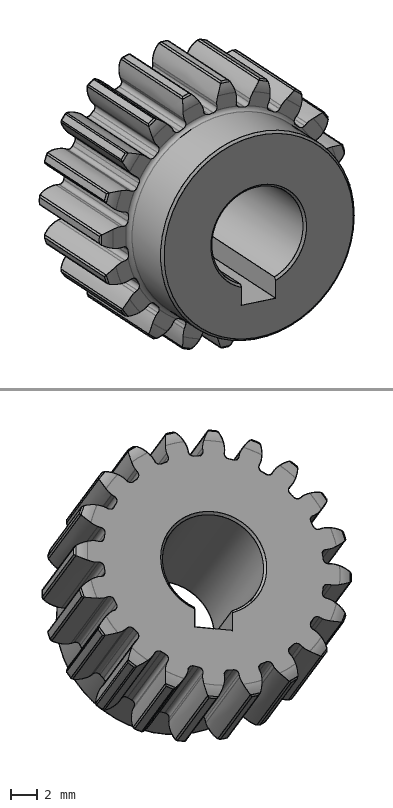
import cadquery as cq
import math

tooth_count = 20
outer_diameter = 22.0
pressure_angle = math.radians(20)
face_width = 10.0
total_length = 15.0
hub_diameter = 17.0
hub_root_fillet = 0.35
hub_end_chamfer = 0.2
bore_diameter = 8.0
bore_chamfer = 0.2
keyway_width = 3.0
keyway_depth = 5.4
tip_chamfer = 0.13
end_round_radius = 2.0
dedendum_factor = 1.25
root_fillet_factor = 0.38

module = outer_diameter / (tooth_count + 2)
outer_radius = outer_diameter / 2
pitch_radius = module * tooth_count / 2
base_radius = pitch_radius * math.cos(pressure_angle)
root_radius = pitch_radius - dedendum_factor * module
root_fillet = root_fillet_factor * module
tip_flank_radius = outer_radius - tip_chamfer
gap_angle = math.tau / tooth_count
hub_radius = hub_diameter / 2
bore_radius = bore_diameter / 2


def involute_roll(radius):
    """Polar angle swept by the involute between the base circle and the given radius."""
    angle = math.acos(base_radius / radius)
    return math.tan(angle) - angle


def flank_angle(radius):
    """Polar angle from the centre of a gap to the flank of the tooth at the given radius."""
    return gap_angle / 4 + involute_roll(radius) - involute_roll(pitch_radius)


def polar(radius, angle):
    """Point in the gear plane, with the angle measured from the middle of the gap."""
    return radius * math.cos(angle), radius * math.sin(angle)


def mirrored(point):
    return point[0], -point[1]


def blank():
    """Revolved body: rounded tooth ends, bevelled tips, root-filleted hub."""
    end_height = tip_flank_radius - pitch_radius
    sweep = math.asin(end_height / end_round_radius)
    end_depth = end_round_radius * (1 - math.cos(sweep))
    mid_depth = end_round_radius * (1 - math.cos(sweep / 2))
    mid_radius = pitch_radius + end_round_radius * math.sin(sweep / 2)
    land_start = end_depth + tip_chamfer
    fillet_inset = 1 - math.sqrt(0.5)

    profile = (
        cq.Workplane("XY")
        .lineTo(0, pitch_radius)
        .threePointArc((mid_depth, mid_radius), (end_depth, tip_flank_radius))
        .lineTo(land_start, outer_radius)
        .lineTo(face_width - land_start, outer_radius)
        .lineTo(face_width - end_depth, tip_flank_radius)
        .threePointArc((face_width - mid_depth, mid_radius), (face_width, pitch_radius))
        .lineTo(face_width, hub_radius + hub_root_fillet)
        .threePointArc(
            (face_width + fillet_inset * hub_root_fillet, hub_radius + fillet_inset * hub_root_fillet),
            (face_width + hub_root_fillet, hub_radius),
        )
        .lineTo(total_length - hub_end_chamfer, hub_radius)
        .lineTo(total_length, hub_radius - hub_end_chamfer)
        .lineTo(total_length, 0)
        .close()
    )
    return profile.revolve(360, (0, 0, 0), (1, 0, 0))


def tooth_gap():
    """Cutter for one gap, centred on +Y; it runs on through the fillet at the hub."""
    involute_steps = 6
    clearance = 0.22
    radii = [
        base_radius + (tip_flank_radius - base_radius) * step / involute_steps
        for step in range(involute_steps + 1)
    ]
    flank = [polar(radius, flank_angle(radius)) for radius in radii]

    base_angle = flank_angle(base_radius)
    centre_radius = root_radius + root_fillet
    centre_angle = base_angle - math.asin(root_fillet / centre_radius)
    centre = polar(centre_radius, centre_angle)
    fillet_start = polar(root_radius, centre_angle)
    fillet_end = polar(math.sqrt(centre_radius**2 - root_fillet**2), base_angle)
    fillet_direction = (centre_angle + math.pi + base_angle + math.pi / 2) / 2
    fillet_mid = (
        centre[0] + root_fillet * math.cos(fillet_direction),
        centre[1] + root_fillet * math.sin(fillet_direction),
    )

    bevel_reach = tip_chamfer + clearance
    bevel_angle = flank_angle(tip_flank_radius) + bevel_reach / outer_radius
    bevel_end = polar(tip_flank_radius + bevel_reach, bevel_angle)

    return (
        cq.Workplane("YZ")
        .moveTo(*fillet_start)
        .threePointArc(fillet_mid, fillet_end)
        .lineTo(*flank[0])
        .spline(flank[1:], includeCurrent=True)
        .lineTo(*bevel_end)
        .lineTo(*mirrored(bevel_end))
        .lineTo(*mirrored(flank[-1]))
        .spline([mirrored(point) for point in flank[-2::-1]], includeCurrent=True)
        .lineTo(*mirrored(fillet_end))
        .threePointArc(mirrored(fillet_mid), mirrored(fillet_start))
        .threePointArc((root_radius, 0), fillet_start)
        .close()
        .extrude(face_width + hub_root_fillet)
    )


def bore():
    """Through bore, chamfered at both ends."""
    mouth_radius = bore_radius + bore_chamfer
    return (
        cq.Workplane("XY")
        .lineTo(0, mouth_radius)
        .lineTo(bore_chamfer, bore_radius)
        .lineTo(total_length - bore_chamfer, bore_radius)
        .lineTo(total_length, mouth_radius)
        .lineTo(total_length, 0)
        .close()
        .revolve(360, (0, 0, 0), (1, 0, 0))
    )


def keyway():
    """Rectangular keyway along the underside of the bore."""
    return (
        cq.Workplane("YZ")
        .rect(keyway_width, keyway_depth)
        .extrude(total_length)
        .translate((0, 0, -keyway_depth / 2))
    )


result = blank()
gap = tooth_gap()
for index in range(tooth_count):
    turn = math.degrees(gap_angle * (index + 0.5))
    result = result.cut(gap.rotate((0, 0, 0), (1, 0, 0), turn))
result = result.cut(bore()).cut(keyway())